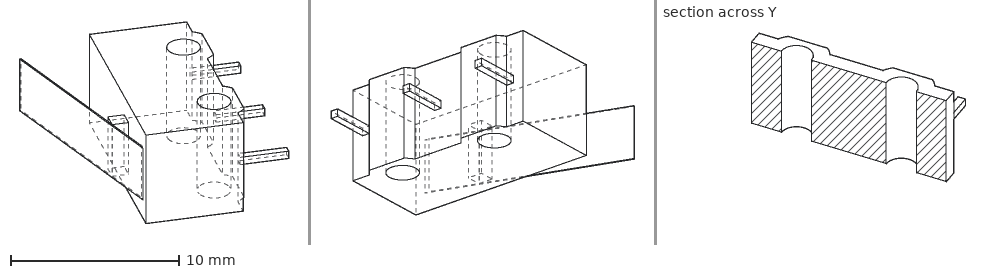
import cadquery as cq
import math


body_length = 13.0
body_depth = 6.0
body_height = 6.0

hole_diameter = 2.0
hole_edge_distance = 3.0
hole_y = body_depth - hole_diameter / 2
hole_centers = [
    (hole_edge_distance, hole_y),
    (body_length - hole_edge_distance, hole_y),
]
ear_radius = 2.0
ear_projection = 0.5

terminal_size = 0.5
terminal_length = 3.0
terminal_pitch = 5.5
terminal_count = 3

plunger_width = 1.0
plunger_travel = 1.0
plunger_overlap = 0.01
plunger_right_x = 9.0

lever_length = 13.0
lever_thickness = 0.1
lever_height = 3.5
lever_root_x = 12.0
lever_angle = math.atan2(plunger_travel, lever_root_x - plunger_right_x)


def make_box(x_min, x_max, y_min, y_max, height):
    """Box between the given X and Y limits, centred on Z = 0."""
    center = ((x_min + x_max) / 2, (y_min + y_max) / 2, 0)
    return cq.Workplane("XY").box(x_max - x_min, y_max - y_min, height).translate(center)


def make_ears():
    """Discs around the holes, cut flat just past the back face."""
    discs = (
        cq.Workplane("XY")
        .pushPoints(hole_centers)
        .circle(ear_radius)
        .extrude(body_height / 2, both=True)
    )
    limits = make_box(0, body_length, 0, body_depth + ear_projection, body_height)
    return discs.intersect(limits)


def make_housing():
    """Rectangular housing with two ears and two through holes."""
    block = make_box(0, body_length, 0, body_depth, body_height)
    holes = (
        cq.Workplane("XY")
        .pushPoints(hole_centers)
        .circle(hole_diameter / 2)
        .extrude(body_height / 2, both=True)
    )
    return block.union(make_ears()).cut(holes)


def make_terminal(center_x):
    """Square terminal standing on the back face."""
    half_width = terminal_size / 2
    tip_y = body_depth + terminal_length
    return make_box(center_x - half_width, center_x + half_width, body_depth, tip_y, terminal_size)


def make_plunger():
    """Rectangular plunger standing out of the lever face."""
    tip_y = -(plunger_travel + plunger_overlap)
    return make_box(plunger_right_x - plunger_width, plunger_right_x, tip_y, 0, lever_height)


def make_lever():
    """Thin sloping strip, square at its free end and mitred against the housing."""
    slope_cos = math.cos(lever_angle)
    slope_sin = math.sin(lever_angle)
    tip_x = lever_root_x - lever_length * slope_cos
    tip_y = -lever_length * slope_sin
    outline = [
        (lever_root_x, 0),
        (tip_x, tip_y),
        (tip_x + lever_thickness * slope_sin, tip_y - lever_thickness * slope_cos),
        (lever_root_x + lever_thickness / slope_sin, 0),
    ]
    return cq.Workplane("XY").polyline(outline).close().extrude(lever_height / 2, both=True)


result = make_housing().union(make_plunger()).union(make_lever())
for index in range(terminal_count):
    offset = (index - (terminal_count - 1) / 2) * terminal_pitch
    result = result.union(make_terminal(body_length / 2 + offset))